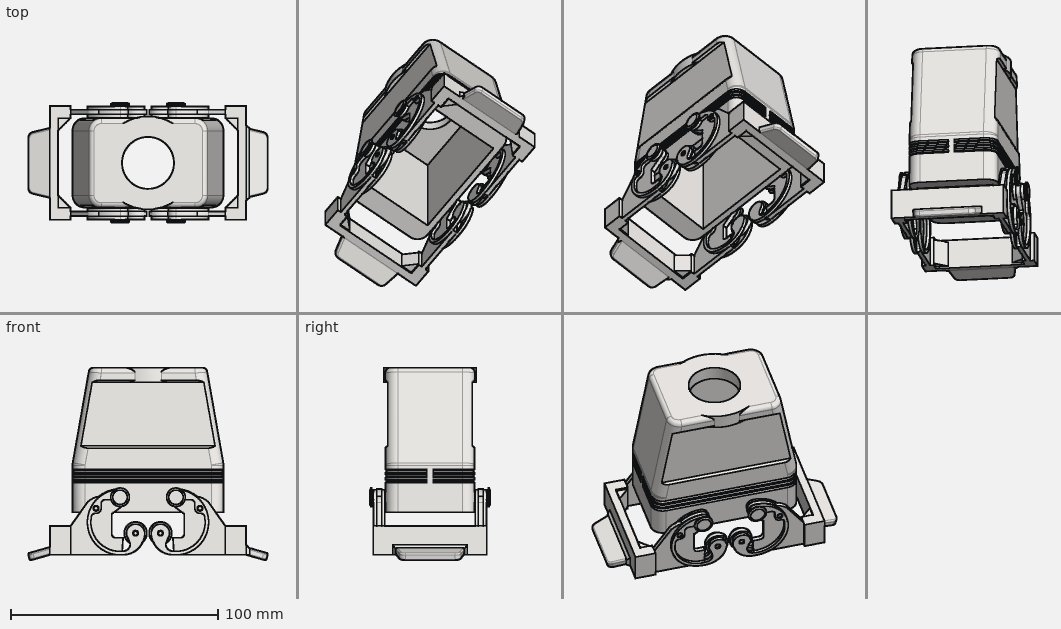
import cadquery as cq
import math


HOOD_LENGTH = 73.0
HOOD_WIDTH = 43.2
HOOD_HEIGHT = 70.0
TAPER_START = 23.5
TAPER_ANGLE = math.radians(10.0)
SHOULDER_RADIUS = 7.0
CORNER_RADIUS = 6.0
TOP_FILLET = 2.5
CAVITY_LENGTH = 52.6
CAVITY_WIDTH = 37.0
TOP_THICKNESS = 7.2
CABLE_HOLE_DIAMETER = 25.0
COLLAR_DIAMETER = 45.0

PANEL_DEPTH = 1.1
PANEL_BOTTOM = 31.1
PANEL_TOP = HOOD_HEIGHT - TOP_THICKNESS + PANEL_DEPTH

GROOVE_TOP = 20.8
GROOVE_PITCH = 2.45
GROOVE_WIDTH = 1.5
GROOVE_DEPTH = 0.75
GROOVE_COUNT = 3
GROOVE_BRIDGE = 3.0

FRAME_BOTTOM = -20.5
FRAME_TOP = -6.5
FRAME_OUTER_X = 47.45
FRAME_BAR = 4.1
FRAME_ARM_END_X = 37.4
FRAME_WIDTH = 55.0
FRAME_ARM_INNER_Y = 21.65
GUSSET_SETBACK = 1.0

HANDLE_ANGLE = math.radians(16.0)
HANDLE_THICKNESS = 3.7
HANDLE_LENGTH = 12.5
HANDLE_ROOT_WIDTH = 34.6
HANDLE_TIP_WIDTH = 28.8
HANDLE_CORNER_RADIUS = 3.0
HANDLE_EDGE_FILLET = 0.8
HANDLE_REACH_X = 57.895
HANDLE_LOWEST_Z = -23.08
FLARE_SIZE = 0.8
FLARE_LENGTH = 1.6
FLARE_ROOT_TOP = -15.6
FLARE_TIP_TOP = -17.3
FLARE_TIP_WIDTH = 33.6

PLATE_INNER_Y = 23.4
PLATE_OUTER_Y = 25.7
RIM_INNER_Y = 21.8
RIM_OUTER_Y = 27.35
PIVOT_X = 13.5
PIVOT_Z = 7.35
PIVOT_RIM_RADIUS = 3.75
PIVOT_PLATE_RADIUS = 4.05
RIM_RADIUS = 15.8
RIM_WIDTH = 1.7
RIM_CENTER_Z = FRAME_BOTTOM + RIM_RADIUS
EYE_X = 6.0
EYE_Z = -10.0
EYE_RIM_RADIUS = 4.4
EYE_ROLLER_RADIUS = 5.5
EYE_RIM_END_ANGLE = math.radians(-37.0)
THROAT_X = 12.05
THROAT_Z = -15.2
THROAT_RADIUS = 3.45
RIVET_X = 25.1
RIVET_Z = 2.0
RIVET_BOSS_RADIUS = 2.45
RIVET_HOLE_RADIUS = 1.3
RIVET_HOLE_DEPTH = 0.5
RIVET_HOLE_CHAMFER = 0.25
RIM_LEDGE_Z = 6.2
RIM_LEDGE_RADIUS = 2.0
RIM_INNER_END_ANGLE = math.radians(171.0)
RIM_STEP_MIDDLE = (-26.7, -0.9)
PLATE_SHOULDER_START = (-29.2, 5.0)
PLATE_SHOULDER_MIDDLE = (-27.2, 6.5)
PLATE_SHOULDER_END_ANGLE = math.radians(129.3)
MOUTH_X = -17.5
MOUTH_FLOOR_Z = -12.2
MOUTH_CORNER_RADIUS = 2.0
MOUTH_SLOPE = math.radians(37.0)
MOUTH_LIP_TOP_X = -12.0
MOUTH_LIP_BOTTOM_X = -12.4

PIN_RADIUS = 2.6
PIN_HEAD_RADIUS = 4.5
PIN_HEAD_INNER_Y = 28.05
PIN_END_Y = 29.0
PIN_HEAD_CHAMFER_RADIAL = 1.0
PIN_HEAD_CHAMFER_AXIAL = 0.5

HALF_LENGTH = HOOD_LENGTH / 2
HALF_WIDTH = HOOD_WIDTH / 2


def box(x_min, x_max, y_min, y_max, z_min, z_max):
    size = (x_max - x_min, y_max - y_min, z_max - z_min)
    return cq.Workplane("XY").box(*size, centered=False).translate((x_min, y_min, z_min))


def both_sides(half, plane):
    return half.union(half.mirror(plane))


def slab(outline, y_min, y_max):
    """Extrude an outline drawn on the XZ plane between two Y positions."""
    return outline.extrude(y_min - y_max).translate((0, y_min, 0))


def disc(x, z, radius, y_min, y_max):
    return slab(cq.Workplane("XZ").center(x, z).circle(radius), y_min, y_max)


def on_circle(x, z, radius, angle):
    return (x + radius * math.cos(angle), z + radius * math.sin(angle))


def hood_blank():
    shoulder = SHOULDER_RADIUS * math.tan(TAPER_ANGLE / 2)
    arc_start = (HALF_LENGTH, TAPER_START - shoulder)
    arc_center = (HALF_LENGTH - SHOULDER_RADIUS, arc_start[1])
    arc_middle = on_circle(*arc_center, SHOULDER_RADIUS, TAPER_ANGLE / 2)
    arc_end = on_circle(*arc_center, SHOULDER_RADIUS, TAPER_ANGLE)
    top_half_length = HALF_LENGTH - (HOOD_HEIGHT - TAPER_START) * math.tan(TAPER_ANGLE)
    outline = (
        cq.Workplane("XZ")
        .moveTo(0, 0)
        .lineTo(HALF_LENGTH, 0)
        .lineTo(*arc_start)
        .threePointArc(arc_middle, arc_end)
        .lineTo(top_half_length, HOOD_HEIGHT)
        .lineTo(0, HOOD_HEIGHT)
        .mirrorY()
    )
    blank = slab(outline, -HALF_WIDTH, HALF_WIDTH)
    return blank.edges("|Z").fillet(CORNER_RADIUS)


def panel_cut():
    """Material removed from the -Y side: a flat recess with sloped upper and lower ends."""
    floor_y = PANEL_DEPTH - HALF_WIDTH
    outer_y = -HALF_WIDTH
    profile = [
        (outer_y, PANEL_BOTTOM),
        (floor_y, PANEL_BOTTOM + PANEL_DEPTH),
        (floor_y, PANEL_TOP - PANEL_DEPTH),
        (outer_y, PANEL_TOP),
    ]
    return cq.Workplane("YZ").polyline(profile).close().extrude(HALF_LENGTH, both=True)


def groove_cut():
    """V-section ring, centred on Z = 0, that follows the rounded outline of the lower hood."""
    half_groove = GROOVE_WIDTH / 2
    outline = cq.Sketch().rect(HOOD_LENGTH, HOOD_WIDTH).vertices().fillet(CORNER_RADIUS)
    flank_angle = math.degrees(math.atan2(GROOVE_DEPTH, half_groove))
    band = cq.Workplane("XY").placeSketch(outline).extrude(half_groove, both=True)
    lower_core = (
        cq.Workplane("XY")
        .workplane(offset=-half_groove)
        .placeSketch(outline)
        .extrude(half_groove, taper=flank_angle)
    )
    core = both_sides(lower_core, "XY")
    half_bridge = GROOVE_BRIDGE / 2
    bridge = box(-HALF_LENGTH, HALF_LENGTH, -half_bridge, half_bridge, -half_groove, half_groove)
    return band.cut(core).cut(bridge)


def cut_grooves(hood):
    groove = groove_cut()
    for index in range(GROOVE_COUNT):
        center_z = GROOVE_TOP - GROOVE_WIDTH / 2 - index * GROOVE_PITCH
        hood = hood.cut(groove.translate((0, 0, center_z)))
    return hood


def make_hood():
    hood = hood_blank().faces(">Z").edges().fillet(TOP_FILLET)
    panel = panel_cut()
    hood = hood.cut(panel).cut(panel.mirror("XZ"))
    cavity_top = HOOD_HEIGHT - TOP_THICKNESS
    collar_plane = cq.Workplane("XY").workplane(offset=cavity_top)
    collar = collar_plane.circle(COLLAR_DIAMETER / 2).extrude(TOP_THICKNESS)
    hood = cut_grooves(hood.union(collar))
    cavity = cq.Workplane("XY").rect(CAVITY_LENGTH, CAVITY_WIDTH).extrude(cavity_top)
    cable_hole = cq.Workplane("XY").circle(CABLE_HOLE_DIAMETER / 2).extrude(HOOD_HEIGHT)
    return hood.cut(cavity).cut(cable_hole)


def gusset():
    """Triangular web in the inner corner between the cross bar and the arm."""
    bar_x = FRAME_OUTER_X - FRAME_BAR
    size = bar_x - FRAME_ARM_END_X
    height = FRAME_TOP - FRAME_BOTTOM - 2 * GUSSET_SETBACK
    corners = [
        (bar_x, FRAME_ARM_INNER_Y),
        (bar_x - size, FRAME_ARM_INNER_Y),
        (bar_x, FRAME_ARM_INNER_Y - size),
    ]
    bottom = FRAME_BOTTOM + GUSSET_SETBACK
    return cq.Workplane("XY").workplane(offset=bottom).polyline(corners).close().extrude(height)


def make_frame():
    half_width = FRAME_WIDTH / 2
    bar = box(FRAME_OUTER_X - FRAME_BAR, FRAME_OUTER_X, -half_width, half_width, FRAME_BOTTOM, FRAME_TOP)
    arm = box(FRAME_ARM_END_X, FRAME_OUTER_X, FRAME_ARM_INNER_Y, half_width, FRAME_BOTTOM, FRAME_TOP)
    return bar.union(both_sides(arm.union(gusset()), "XZ"))


def make_handle():
    """Tapered thumb plate on the +X side, drooping outwards from the cross bar."""
    half_root = HANDLE_ROOT_WIDTH / 2
    half_tip = HANDLE_TIP_WIDTH / 2
    corners = [
        (-HANDLE_LENGTH, -half_root),
        (0, -half_tip),
        (0, half_tip),
        (-HANDLE_LENGTH, half_root),
    ]
    plate = cq.Workplane("XY").polyline(corners).close().extrude(-HANDLE_THICKNESS)
    plate = plate.edges("|Z and >X").fillet(HANDLE_CORNER_RADIUS)
    plate = plate.faces(">Z or <Z").edges("not <X").fillet(HANDLE_EDGE_FILLET)
    plate = plate.rotate((0, 0, 0), (0, 1, 0), math.degrees(HANDLE_ANGLE))

    sine = math.sin(HANDLE_ANGLE)
    cosine = math.cos(HANDLE_ANGLE)
    upper_edge_x = -HANDLE_EDGE_FILLET * (cosine + sine)
    lower_edge_depth = HANDLE_THICKNESS - HANDLE_EDGE_FILLET
    lower_edge_z = HANDLE_EDGE_FILLET * sine - lower_edge_depth * cosine
    shift_x = HANDLE_REACH_X - HANDLE_EDGE_FILLET - upper_edge_x
    shift_z = HANDLE_LOWEST_Z + HANDLE_EDGE_FILLET - lower_edge_z
    return plate.translate((shift_x, 0, shift_z))


def make_flare():
    """Thickened root where the +X handle leaves its cross bar."""
    root_height = FLARE_ROOT_TOP - FRAME_BOTTOM
    tip_height = FLARE_TIP_TOP - FRAME_BOTTOM
    return (
        cq.Workplane("YZ")
        .workplane(offset=FRAME_OUTER_X)
        .center(0, FRAME_BOTTOM + root_height / 2)
        .rect(HANDLE_ROOT_WIDTH + 2 * FLARE_SIZE, root_height)
        .workplane(offset=FLARE_LENGTH)
        .center(0, (tip_height - root_height) / 2)
        .rect(FLARE_TIP_WIDTH, tip_height)
        .loft(ruled=True)
    )


def rim_outline():
    """C-shaped rim running from the pivot round to the eye of the hook."""
    center = (-PIVOT_X, RIM_CENTER_Z)
    inner_radius = RIM_RADIUS - RIM_WIDTH
    hook_radius = EYE_Z - FRAME_BOTTOM
    hook_center = (EYE_RIM_RADIUS - EYE_X - hook_radius, EYE_Z)
    eye = (-EYE_X, EYE_Z)
    eye_end = math.pi - EYE_RIM_END_ANGLE
    throat = (-THROAT_X, THROAT_Z)
    boss = (-RIVET_X, RIVET_Z)
    ledge_center = (-RIVET_X + RIVET_BOSS_RADIUS + RIM_LEDGE_RADIUS, RIM_LEDGE_Z - RIM_LEDGE_RADIUS)
    inner_middle_angle = (RIM_INNER_END_ANGLE + 1.5 * math.pi) / 2
    quarter = math.pi / 2
    return (
        cq.Workplane("XZ")
        .moveTo(*on_circle(*center, RIM_RADIUS, quarter))
        .threePointArc(on_circle(*center, RIM_RADIUS, math.pi), on_circle(*center, RIM_RADIUS, -quarter))
        .lineTo(*on_circle(*hook_center, hook_radius, -quarter))
        .threePointArc(
            on_circle(*hook_center, hook_radius, -quarter / 2),
            on_circle(*hook_center, hook_radius, 0),
        )
        .threePointArc(
            on_circle(*eye, EYE_RIM_RADIUS, eye_end / 2),
            on_circle(*eye, EYE_RIM_RADIUS, eye_end),
        )
        .lineTo(*on_circle(*throat, THROAT_RADIUS, 0))
        .threePointArc(
            on_circle(*throat, THROAT_RADIUS, -quarter / 2),
            on_circle(*throat, THROAT_RADIUS, -quarter),
        )
        .lineTo(*on_circle(*center, inner_radius, -quarter))
        .threePointArc(
            on_circle(*center, inner_radius, inner_middle_angle),
            on_circle(*center, inner_radius, RIM_INNER_END_ANGLE),
        )
        .threePointArc(RIM_STEP_MIDDLE, on_circle(*boss, RIVET_BOSS_RADIUS, -quarter))
        .threePointArc(
            on_circle(*boss, RIVET_BOSS_RADIUS, -quarter / 2),
            on_circle(*boss, RIVET_BOSS_RADIUS, 0),
        )
        .lineTo(*on_circle(*ledge_center, RIM_LEDGE_RADIUS, math.pi))
        .threePointArc(
            on_circle(*ledge_center, RIM_LEDGE_RADIUS, 0.75 * math.pi),
            on_circle(*ledge_center, RIM_LEDGE_RADIUS, quarter),
        )
        .lineTo(-PIVOT_X, RIM_LEDGE_Z)
        .close()
    )


def plate_outline():
    """Web between the frame arm and the C-shaped rim, with the square-cornered mouth."""
    pivot = (-PIVOT_X, PIVOT_Z)
    mouth_tangent = on_circle(*pivot, PIVOT_PLATE_RADIUS, MOUTH_SLOPE - math.pi / 2)
    mouth_top_z = mouth_tangent[1] - (mouth_tangent[0] - MOUTH_X) * math.tan(MOUTH_SLOPE)
    corner_center = (MOUTH_X + MOUTH_CORNER_RADIUS, MOUTH_FLOOR_Z + MOUTH_CORNER_RADIUS)
    rim_center = (-PIVOT_X, RIM_CENTER_Z)
    follow_radius = PIVOT_Z + PIVOT_PLATE_RADIUS - RIM_CENTER_Z
    shoulder_end = on_circle(*rim_center, follow_radius, PLATE_SHOULDER_END_ANGLE)
    follow_middle_angle = (PLATE_SHOULDER_END_ANGLE + math.pi / 2) / 2
    follow_middle = on_circle(*rim_center, follow_radius, follow_middle_angle)
    rim_bottom = FRAME_BOTTOM + RIM_WIDTH
    return (
        cq.Workplane("XZ")
        .moveTo(-FRAME_ARM_END_X, FRAME_BOTTOM)
        .lineTo(-FRAME_ARM_END_X, FRAME_TOP)
        .lineTo(*PLATE_SHOULDER_START)
        .threePointArc(PLATE_SHOULDER_MIDDLE, shoulder_end)
        .threePointArc(follow_middle, (-PIVOT_X, PIVOT_Z + PIVOT_PLATE_RADIUS))
        .lineTo(*pivot)
        .lineTo(*mouth_tangent)
        .lineTo(MOUTH_X, mouth_top_z)
        .lineTo(MOUTH_X, corner_center[1])
        .threePointArc(
            on_circle(*corner_center, MOUTH_CORNER_RADIUS, 1.25 * math.pi),
            (corner_center[0], MOUTH_FLOOR_Z),
        )
        .lineTo(MOUTH_LIP_TOP_X, MOUTH_FLOOR_Z)
        .lineTo(MOUTH_LIP_BOTTOM_X, rim_bottom)
        .lineTo(MOUTH_LIP_BOTTOM_X, FRAME_BOTTOM)
        .close()
    )


def make_side_plate():
    """Web plate sandwiched between two rims, with hook roller and pivot pin, at -X and +Y."""
    side = slab(plate_outline(), PLATE_INNER_Y, PLATE_OUTER_Y)
    side = side.union(disc(-PIVOT_X, PIVOT_Z, PIVOT_PLATE_RADIUS, PLATE_INNER_Y, PLATE_OUTER_Y))
    roller = disc(-EYE_X, EYE_Z, EYE_ROLLER_RADIUS, PLATE_INNER_Y, PLATE_OUTER_Y)
    side = side.union(roller)
    for y_min, y_max in ((RIM_INNER_Y, PLATE_INNER_Y), (PLATE_OUTER_Y, RIM_OUTER_Y)):
        rim = slab(rim_outline(), y_min, y_max)
        side = side.union(rim).union(disc(-PIVOT_X, PIVOT_Z, PIVOT_RIM_RADIUS, y_min, y_max))
    for x, z in ((RIVET_X, RIVET_Z), (EYE_X, EYE_Z)):
        recess = disc(-x, z, RIVET_HOLE_RADIUS, RIM_OUTER_Y - RIVET_HOLE_DEPTH, RIM_OUTER_Y)
        side = side.cut(recess.faces("<Y").chamfer(RIVET_HOLE_CHAMFER))
    return side.union(make_pin())


def make_pin():
    """Pivot pin anchored in the hood wall, with a chamfered head outside the lever."""
    shaft = disc(-PIVOT_X, PIVOT_Z, PIN_RADIUS, CAVITY_WIDTH / 2, PIN_END_Y)
    head = disc(-PIVOT_X, PIVOT_Z, PIN_HEAD_RADIUS, PIN_HEAD_INNER_Y, PIN_END_Y)
    head = head.faces(">Y").chamfer(PIN_HEAD_CHAMFER_AXIAL, PIN_HEAD_CHAMFER_RADIAL)
    return shaft.union(head)


levers = both_sides(make_frame().union(make_handle()), "YZ").union(make_flare())
side_plates = both_sides(both_sides(make_side_plate(), "XZ"), "YZ")
result = make_hood().union(levers).union(side_plates)